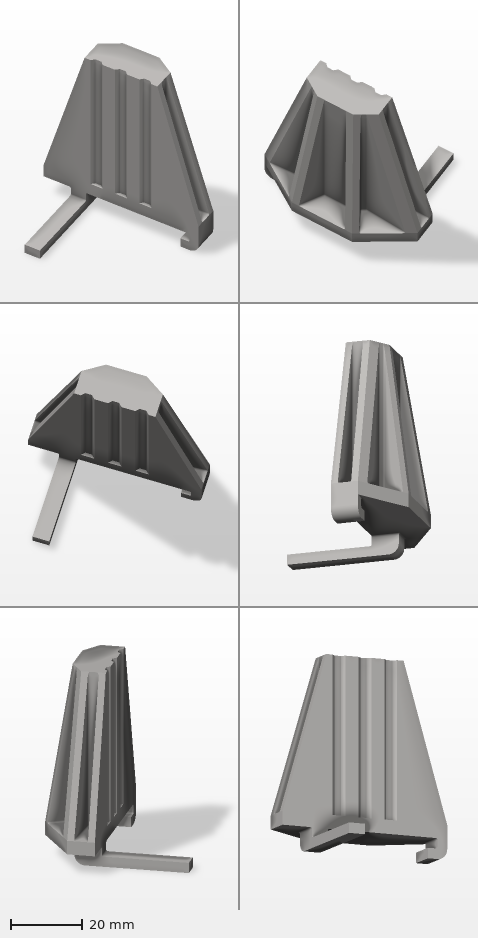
import cadquery as cq
import math

height = 56
width = 51.0
depth = 18.0
base_bottom = 6.0
shoulder = 10.0

side_depth = 8.0
back_half_width = 10.0
top_half_width = 12.0
top_back_half_width = 6.0
top_depth = 11.0

rib_half_thickness = 2.0
small_radius = 0.5
cut_margin = 2.8

groove_count = 3
groove_pitch = 8.0
groove_width = 4.0
groove_depth = 1.0

foot_thickness = 3.0
foot_radius = 3.0
leg_width = 5.0
leg_center = -14
arm_reach = 25.05
hook_length = 6.0

half_width = width / 2
oblique_slope = (depth - side_depth) / (half_width - back_half_width)
top_side_depth = top_depth - oblique_slope * (top_half_width - top_back_half_width)


def half_hexagon(half, side, back_half, back):
    """Outline from the right front corner round the back to the left front corner."""
    right = [(half, 0), (half, side), (back_half, back)]
    return right + [(-x, y) for x, y in reversed(right)]


def polygon_face(points):
    wire = cq.Wire.makePolygon([cq.Vector(*p) for p in points], close=True)
    return cq.Face.makeFromWires(wire)


def make_frustum(lower, upper, z_low, z_high):
    """Solid between two outlines with flat faces joining matching edges."""
    low = [(x, y, z_low) for x, y in lower]
    high = [(x, y, z_high) for x, y in upper]
    faces = [polygon_face(low), polygon_face(high)]
    for i in range(len(low)):
        j = (i + 1) % len(low)
        faces.append(polygon_face([low[i], low[j], high[j], high[i]]))
    return cq.Workplane(cq.Solid.makeSolid(cq.Shell.makeShell(faces)))


def shifted_line(start, end, distance):
    """Line from start to end moved to its right by a distance, as (start, end)."""
    dx = end[0] - start[0]
    dy = end[1] - start[1]
    length = math.hypot(dx, dy)
    shift_x = distance * dy / length
    shift_y = -distance * dx / length
    return (start[0] + shift_x, start[1] + shift_y), (end[0] + shift_x, end[1] + shift_y)


def crossing(line_a, line_b):
    """Point where two endless lines meet."""
    (ax, ay), (bx, by) = line_a
    (cx, cy), (dx, dy) = line_b
    denominator = (bx - ax) * (dy - cy) - (by - ay) * (dx - cx)
    t = ((cx - ax) * (dy - cy) - (cy - ay) * (dx - cx)) / denominator
    return ax + t * (bx - ax), ay + t * (by - ay)


def make_pocket(base_edge, top_edge):
    """Upright pocket between two ribs, reaching in to the upright core below the top face."""
    first_wall = shifted_line(base_edge[0], top_edge[0], rib_half_thickness)
    second_wall = shifted_line(base_edge[1], top_edge[1], -rib_half_thickness)
    outside = shifted_line(*base_edge, cut_margin)
    outline = [
        crossing(first_wall, outside),
        crossing(second_wall, outside),
        crossing(second_wall, top_edge),
        crossing(first_wall, top_edge),
    ]
    pocket = (
        cq.Workplane("XY", origin=(0, 0, shoulder))
        .polyline(outline)
        .close()
        .extrude(height - shoulder + cut_margin)
    )
    return pocket.edges("|Z").fillet(small_radius).faces("<Z").edges().fillet(small_radius)


def make_groove(x):
    """Upright groove with 45 degree flanks, open at the top."""
    mouth_half = groove_width / 2
    floor_half = mouth_half - groove_depth
    outline = [
        (-mouth_half, 0),
        (mouth_half, 0),
        (floor_half, groove_depth),
        (-floor_half, groove_depth),
    ]
    return (
        cq.Workplane("XY", origin=(x, 0, shoulder))
        .polyline(outline)
        .close()
        .extrude(height - shoulder)
    )


def make_leg():
    """Post under the base with an arm running forward."""
    post = cq.Workplane("XY").box(leg_width, side_depth, base_bottom, centered=(True, False, False))
    arm = (
        cq.Workplane("XY", origin=(0, -arm_reach, 0))
        .box(leg_width, arm_reach + side_depth, foot_thickness, centered=(True, False, False))
    )
    leg = post.union(arm).translate((leg_center, 0, 0))
    leg = leg.faces(">Y").edges("<Z").fillet(foot_radius)
    inner_corner = cq.selectors.NearestToPointSelector((leg_center, 0, foot_thickness))
    return leg.edges(inner_corner).fillet(small_radius)


def make_hook():
    """Hook under the right end of the base, with its tip pointing left."""
    wall = (
        cq.Workplane("XY", origin=(half_width - foot_thickness, 0, 0))
        .box(foot_thickness, side_depth, base_bottom, centered=False)
    )
    tip = (
        cq.Workplane("XY", origin=(half_width - hook_length, 0, 0))
        .box(hook_length, side_depth, foot_thickness, centered=False)
    )
    hook = wall.union(tip).faces(">X").edges("<Z").fillet(foot_radius)
    inner_corner = cq.selectors.NearestToPointSelector(
        (half_width - foot_thickness, side_depth / 2, foot_thickness)
    )
    return hook.edges(inner_corner).fillet(small_radius)


def round_foot_roots(body):
    """Fillet the edges where the feet meet the underside of the base."""
    roots = [
        (leg_center - leg_width / 2, side_depth / 2, base_bottom),
        (leg_center + leg_width / 2, side_depth / 2, base_bottom),
        (leg_center, side_depth, base_bottom),
        (half_width - foot_thickness, side_depth / 2, base_bottom),
    ]
    edges = [body.edges(cq.selectors.NearestToPointSelector(p)).val() for p in roots]
    return body.newObject(edges).fillet(small_radius)


base_outline = half_hexagon(half_width, side_depth, back_half_width, depth)
top_outline = half_hexagon(top_half_width, top_side_depth, top_back_half_width, top_depth)

base = (
    cq.Workplane("XY", origin=(0, 0, base_bottom))
    .polyline(base_outline)
    .close()
    .extrude(shoulder - base_bottom)
)
footed_base = round_foot_roots(base.union(make_leg()).union(make_hook()))

grip = make_frustum(base_outline, top_outline, shoulder, height)
for i in range(len(base_outline) - 1):
    grip = grip.cut(make_pocket(base_outline[i:i + 2], top_outline[i:i + 2]))
for i in range(groove_count):
    grip = grip.cut(make_groove((i - (groove_count - 1) / 2) * groove_pitch))

result = footed_base.union(grip)